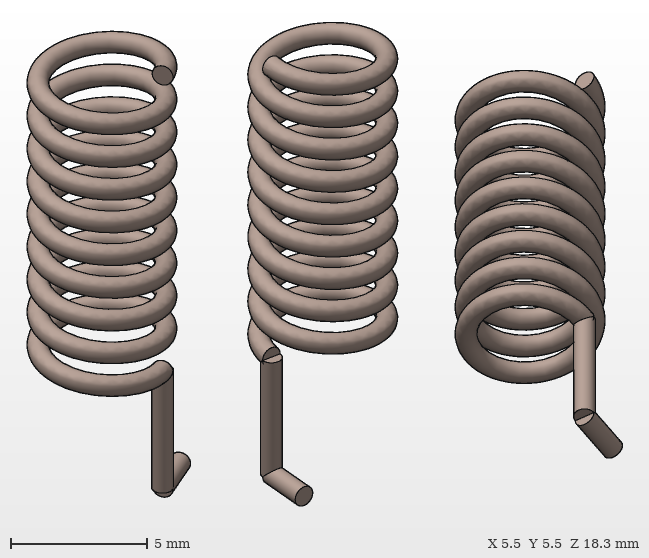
import cadquery as cq

outer_diameter = 5.5
total_height = 18.3
wire_radius = 0.4
turns = 9
leg_length = 5.0
foot_length = 2.0

coil_radius = outer_diameter / 2 - wire_radius
foot_axis_z = wire_radius
coil_start_z = foot_axis_z + leg_length
coil_height = total_height - wire_radius - coil_start_z
pitch = coil_height / turns


def make_coil():
    """Left-handed helix of round wire, starting and ending on the +X side."""
    helix = cq.Wire.makeHelix(
        pitch, coil_height, coil_radius, center=cq.Vector(0, 0, coil_start_z), lefthand=True
    )
    section = cq.Workplane("XZ").center(coil_radius, coil_start_z).circle(wire_radius)
    return section.sweep(cq.Workplane(helix), isFrenet=True)


def make_lead(coil):
    """Upright leg below the coil start with a foot along +Y, seated against the coil."""
    leg = (
        cq.Workplane("XY", origin=(coil_radius, 0, foot_axis_z))
        .circle(wire_radius)
        .extrude(leg_length)
    )
    foot = (
        cq.Workplane("XZ", origin=(coil_radius, 0, foot_axis_z))
        .circle(wire_radius)
        .extrude(-foot_length)
    )
    return leg.union(foot).cut(coil).solids()


coil = make_coil()
lead = make_lead(coil)

result = cq.Compound.makeCompound([coil.val(), lead.val()])